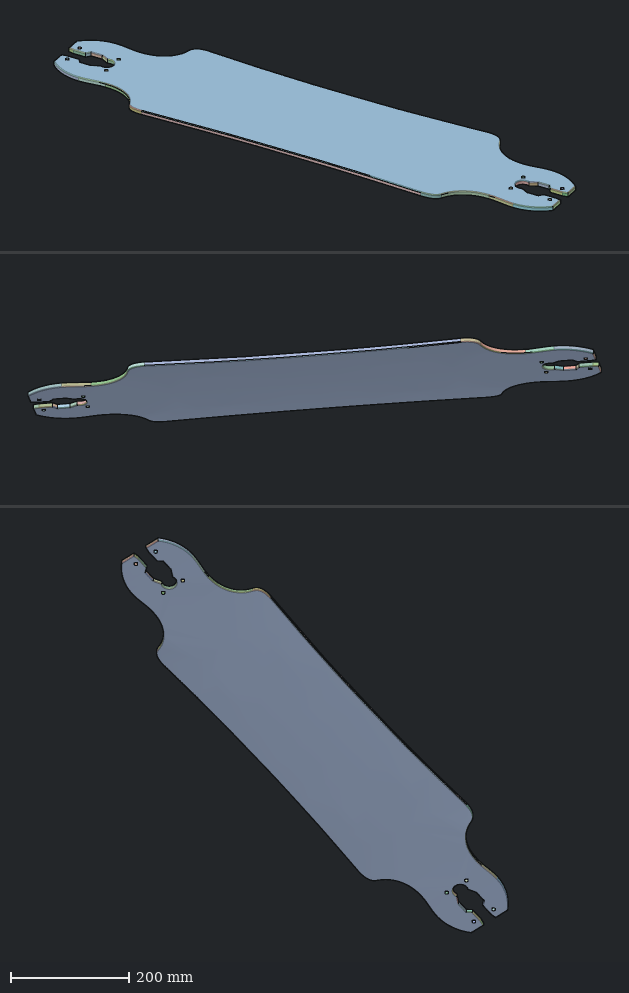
import cadquery as cq
import math

LENGTH = 973.97
WIDTH = 230.23
HEIGHT = 13.31

THICKNESS = 8.6
RIM_RISE = HEIGHT - THICKNESS
EDGE_RADIUS = 1.4

STOCK_MARGIN = 5.0
PRISM_HEIGHT = HEIGHT + 2 * STOCK_MARGIN

HALF_LENGTH = LENGTH / 2
HALF_WIDTH = WIDTH / 2
CREST_HALF_WIDTH = HALF_WIDTH - EDGE_RADIUS
WAIST_HALF_WIDTH = 107.5
TIP_HALF_WIDTH = 39.0
HEAD_X, HEAD_HALF_WIDTH = 424.0, 64.8
NECK_X, NECK_HALF_WIDTH = 374.0, 60.0
FLARE_X, FLARE_HALF_WIDTH = 334.0, 68.5
SHOULDER_X, SHOULDER_HALF_WIDTH = 304.5, 101.0
SHOULDER_ANGLE = math.radians(70)
WIDEST_X = 272.0

MOUTH_HALF_WIDTH = 12.6
THROAT_OUTER_X, THROAT_INNER_X, THROAT_HALF_WIDTH = 477.0, 453.0, 10.7
BAY_OUTER_X, BAY_INNER_X, BAY_HALF_WIDTH = 446.5, 425.0, 18.6
KINGPIN_RADIUS = 12.5
KINGPIN_X = 405.5
GAP_X = 411.0
GAP_HALF_WIDTH = math.sqrt(KINGPIN_RADIUS**2 - (GAP_X - KINGPIN_X) ** 2)

HOLE_DIAMETER = 6.0
HOLE_X_POSITIONS = (394.5, 470.5)
HOLE_HALF_SPACING = 21.0


def concave_controls(base):
    """Bezier controls of the quartic z = base + RIM_RISE * (y / CREST_HALF_WIDTH)**4."""
    degree = 4
    half_span = HALF_WIDTH + STOCK_MARGIN
    rise = RIM_RISE * (half_span / CREST_HALF_WIDTH) ** degree
    return [
        (half_span * (2 * k / degree - 1), base + rise * (-1) ** k)
        for k in range(degree + 1)
    ]


def concave_stock():
    """Oversize sheet of constant thickness following the concave curve."""
    half_span = HALF_LENGTH + STOCK_MARGIN
    bottom = concave_controls(0)
    top = concave_controls(THICKNESS)
    return (
        cq.Workplane("YZ", origin=(-half_span, 0, 0))
        .moveTo(*bottom[0])
        .bezier(bottom)
        .lineTo(*top[-1])
        .bezier(top[::-1])
        .close()
        .extrude(2 * half_span)
    )


def base_plane():
    """Horizontal workplane below the deck, where the full-height prisms start."""
    return cq.Workplane("XY", origin=(0, 0, -STOCK_MARGIN))


def plan_blank():
    """Prism with the deck outline: one quarter mirrored about both centre lines."""
    waist_rise = HALF_WIDTH - WAIST_HALF_WIDTH
    waist_radius = (WIDEST_X**2 + waist_rise**2) / (2 * waist_rise)
    waist_half_angle = math.asin(WIDEST_X / waist_radius) / 2
    waist_mid = (
        waist_radius * math.sin(waist_half_angle),
        WAIST_HALF_WIDTH + waist_radius * (1 - math.cos(waist_half_angle)),
    )
    shoulder_direction = (math.cos(SHOULDER_ANGLE), -math.sin(SHOULDER_ANGLE))
    along_x = (1, 0)
    quarter = (
        base_plane()
        .moveTo(0, 0)
        .lineTo(0, WAIST_HALF_WIDTH)
        .threePointArc(waist_mid, (WIDEST_X, HALF_WIDTH))
        .spline(
            [(SHOULDER_X, SHOULDER_HALF_WIDTH)],
            tangents=[along_x, shoulder_direction],
            includeCurrent=True,
        )
        .spline(
            [(FLARE_X, FLARE_HALF_WIDTH), (NECK_X, NECK_HALF_WIDTH)],
            tangents=[shoulder_direction, along_x],
            includeCurrent=True,
        )
        .spline(
            [(HEAD_X, HEAD_HALF_WIDTH)],
            tangents=[along_x, along_x],
            includeCurrent=True,
        )
        .tangentArcPoint((HALF_LENGTH, TIP_HALF_WIDTH), relative=False)
        .lineTo(HALF_LENGTH, 0)
        .close()
        .extrude(PRISM_HEIGHT)
    )
    half = quarter.union(quarter.mirror("XZ"))
    return half.union(half.mirror("YZ"))


def truck_cutout():
    """Cutter for the +X tip: stepped slot ending in a round kingpin clearance."""
    upper_edge = [
        (HALF_LENGTH, MOUTH_HALF_WIDTH),
        (THROAT_OUTER_X, THROAT_HALF_WIDTH),
        (THROAT_INNER_X, THROAT_HALF_WIDTH),
        (BAY_OUTER_X, BAY_HALF_WIDTH),
        (BAY_INNER_X, BAY_HALF_WIDTH),
        (GAP_X, GAP_HALF_WIDTH),
    ]
    lower_edge = [(x, -y) for x, y in reversed(upper_edge)]
    return (
        base_plane()
        .polyline(upper_edge)
        .threePointArc((KINGPIN_X - KINGPIN_RADIUS, 0), lower_edge[0])
        .polyline(lower_edge[1:], includeCurrent=True)
        .close()
        .extrude(PRISM_HEIGHT)
    )


def mounting_holes():
    """Cutters for the four truck bolts at the +X tip."""
    centres = [(x, side * HOLE_HALF_SPACING) for x in HOLE_X_POSITIONS for side in (-1, 1)]
    return base_plane().pushPoints(centres).circle(HOLE_DIAMETER / 2).extrude(PRISM_HEIGHT)


def cut_both_tips(body, cutter):
    """Remove the cutter from the +X tip and its mirror image from the -X tip."""
    return body.cut(cutter).cut(cutter.mirror("YZ"))


deck = concave_stock().intersect(plan_blank())
deck = cut_both_tips(deck, truck_cutout())
deck = deck.edges("not |Z").fillet(EDGE_RADIUS)
result = cut_both_tips(deck, mounting_holes())